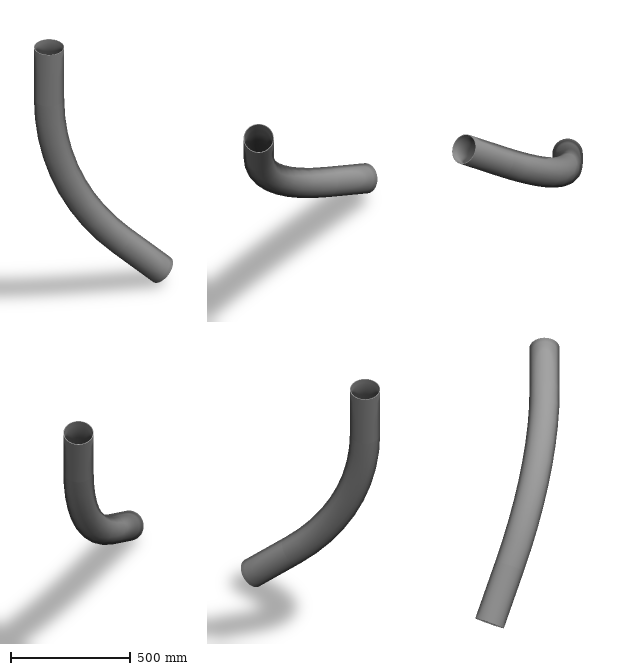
import cadquery as cq
import math

OUTER_DIAMETER = 127.0
INNER_DIAMETER = 120.9
BEND_RADIUS = 1066.8
BEND_ANGLE = 45.0
STRAIGHT_LENGTH = 254.0


def point_on_bend(angle_deg):
    """Centreline point (Y, Z) at an angle below the start of the bend."""
    angle = math.radians(angle_deg)
    y = BEND_RADIUS * (1 - math.cos(angle))
    z = -STRAIGHT_LENGTH - BEND_RADIUS * math.sin(angle)
    return y, z


def pipe_centreline():
    """Vertical straight, circular bend towards +Y, then a sloping straight."""
    bend_start = point_on_bend(0)
    bend_middle = point_on_bend(BEND_ANGLE / 2)
    bend_end = point_on_bend(BEND_ANGLE)
    slope = math.radians(BEND_ANGLE)
    lower_end = (
        bend_end[0] + STRAIGHT_LENGTH * math.sin(slope),
        bend_end[1] - STRAIGHT_LENGTH * math.cos(slope),
    )
    return (
        cq.Workplane("YZ")
        .moveTo(0, 0)
        .lineTo(*bend_start)
        .threePointArc(bend_middle, bend_end)
        .lineTo(*lower_end)
    )


def bent_pipe():
    """Ring section at the upper end, swept along the centreline."""
    section = (
        cq.Workplane("XY")
        .circle(OUTER_DIAMETER / 2)
        .circle(INNER_DIAMETER / 2)
    )
    return section.sweep(pipe_centreline())


result = bent_pipe()